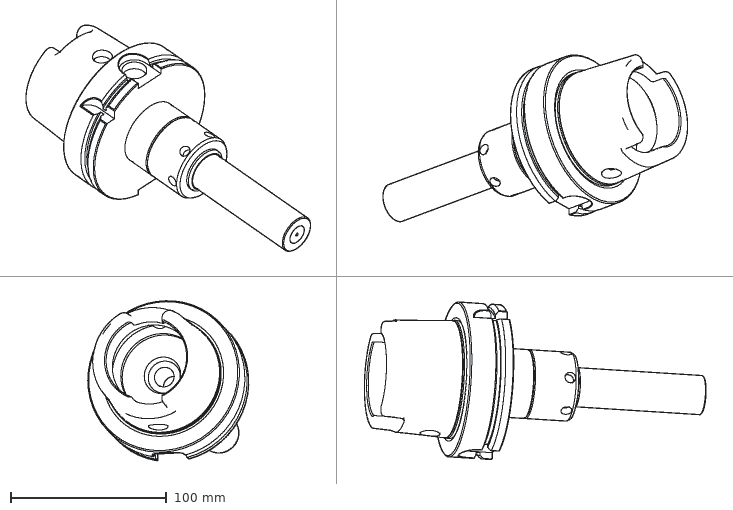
import cadquery as cq
import math


TAPER_START_RADIUS = 35.5
TAPER_SLOPE = 0.05
TAPER_END = 47.7
TAPER_END_RADIUS = TAPER_START_RADIUS + TAPER_SLOPE * TAPER_END
RIM_ROUNDING = 2.0

RELIEF_MIDDLE = 48.4
RELIEF_END = 49.0
RELIEF_RADIUS = 37.5
COLLAR_RADIUS = 38.0
RECESS_RADIUS = 39.8
RECESS_DEPTH = 0.9

NOTCH_WIDTH = 20.0
TOP_NOTCH_DEPTH = 10.0
BOTTOM_NOTCH_DEPTH = 15.0
NOTCH_EDGE_RADIUS = 5.2
NOTCH_FLOOR_RADIUS = 2.0

BORE_RADIUS = 53.0 / 2
MOUTH_CHAMFER = 0.9
LIP_LENGTH = 19.1
UNDERCUT_RADIUS = 31.4
UNDERCUT_ANGLE = 60
ROUNDING_START = 39.8
FLOOR_X = 44.3
FLOOR_RADIUS = 24.7
FLOOR_ARC_RADIUS = 16.8
CROSS_HOLE_DIAMETER = 12.7
CROSS_HOLE_X = 35.3

FLOOR_HOLE_DIAMETER = 26.0
FLOOR_HOLE_END_DIAMETER = 21.0
FLOOR_HOLE_DEPTH = 8.5

FLANGE_RADIUS = 49.99
FLANGE_START = 50.0
FLANGE_END = 79.0
FLANGE_CHAMFER = 0.9
FLANGE_END_CHAMFER = 0.6
GRIP_RADIUS = 46.0
GRIP_WALL_RADIUS = 47.7
GRIP_START = 66.9
GRIP_FLOOR_START = 68.2
GRIP_FLOOR_END = 71.0
GRIP_END = 73.3

SLOT_WIDTH = 20.2
SLOT_CENTRE_X = 64.7
SLOT_FLOOR = 44.3
SLOT_EDGE_CHAMFER = 0.5
SLOT_HOLE_DIAMETER = 16.0
SLOT_HOLE_DEPTH = 5.8
CORNER_SLOT_INSET = 31.5

NUT_RADIUS = 44.5 / 2
NUT_START = 99.1
NUT_END = 128.5
JOINT_CHAMFER = 0.6
NUT_END_RADIUS = 21.0
NUT_END_CHAMFER = 2.0
NUT_HOLE_COUNT = 6
NUT_HOLE_DIAMETER = 6.9
NUT_HOLE_DEPTH = 6.0
NUT_HOLE_X = 122.8

NOSE_RADIUS = 30.0 / 2
NOSE_RIM = 130.0
NOSE_END = 131.5
NOSE_END_RADIUS = 13.3

ROD_DIAMETER = 25.4
ROD_BORE_DIAMETER = 13.0
ROD_START = FLANGE_END
ROD_END = 215.0
ROD_CHAMFER = 0.6
CORE_DIAMETER = 12.7
COOLANT_DIAMETER = 2.0

TOLERANCE = 0.002


def turned(points):
    """Revolve an (x, radius) outline around the X axis."""
    return cq.Workplane("XY").polyline(points).close().revolve(360, (0, 0, 0), (1, 0, 0))


def bar(diameter, start, end):
    """Cylinder along the X axis."""
    return cq.Workplane("YZ", origin=(start, 0, 0)).circle(diameter / 2).extrude(end - start)


def drive_notch(side, depth):
    """Cutter for the notch on the +Z (side 1) or -Z (side -1) half of the open end."""
    height = 2 * TAPER_START_RADIUS
    cutter = cq.Workplane("XY").box(depth, NOTCH_WIDTH, height)
    return cutter.translate((depth / 2, 0, side * height / 2))


def is_bore_edge(edge):
    """True for an arc on the wall of the clamping bore."""
    return edge.geomType() == "CIRCLE" and abs(edge.radius() - BORE_RADIUS) < TOLERANCE


def shank():
    """Hollow taper with two drive notches, rounded wherever the notches break the rim."""
    body = turned([
        (0, BORE_RADIUS),
        (0, TAPER_START_RADIUS),
        (TAPER_END, TAPER_END_RADIUS),
        (TAPER_END, BORE_RADIUS),
    ])
    notches = ((1, TOP_NOTCH_DEPTH), (-1, BOTTOM_NOTCH_DEPTH))
    for side, depth in notches:
        body = body.cut(drive_notch(side, depth))

    wall_y = NOTCH_WIDTH / 2
    rim_z = math.sqrt(TAPER_START_RADIUS ** 2 - wall_y ** 2)
    for side, depth in notches:
        for y in (-wall_y, wall_y):
            middle = (depth / 2, y, side * rim_z)
            body = body.edges(cq.selectors.NearestToPointSelector(middle)).fillet(NOTCH_EDGE_RADIUS)
    wall_z = (BORE_RADIUS + TAPER_START_RADIUS) / 2 - NOTCH_EDGE_RADIUS / 2
    wall_z = min(wall_z, BORE_RADIUS + 1.0)
    for side, depth in notches:
        for y in (-wall_y, wall_y):
            middle = (depth, y, side * wall_z)
            body = body.edges(cq.selectors.NearestToPointSelector(middle)).fillet(NOTCH_FLOOR_RADIUS)
    rim = body.faces("<X").edges().filter(lambda edge: not is_bore_edge(edge))
    return rim.fillet(RIM_ROUNDING)


def flange_and_neck():
    """Solid turned body from the relief behind the taper to the face that meets the nut."""
    return turned([
        (TAPER_END, 0),
        (TAPER_END, TAPER_END_RADIUS),
        (RELIEF_MIDDLE, RELIEF_RADIUS),
        (RELIEF_END, COLLAR_RADIUS),
        (FLANGE_START + RECESS_DEPTH, COLLAR_RADIUS),
        (FLANGE_START, RECESS_RADIUS),
        (FLANGE_START, FLANGE_RADIUS - FLANGE_CHAMFER),
        (FLANGE_START + FLANGE_CHAMFER, FLANGE_RADIUS),
        (GRIP_START, FLANGE_RADIUS),
        (GRIP_FLOOR_START, GRIP_WALL_RADIUS),
        (GRIP_FLOOR_START, GRIP_RADIUS),
        (GRIP_FLOOR_END, GRIP_RADIUS),
        (GRIP_FLOOR_END, GRIP_WALL_RADIUS),
        (GRIP_END, FLANGE_RADIUS),
        (FLANGE_END - FLANGE_END_CHAMFER, FLANGE_RADIUS),
        (FLANGE_END, FLANGE_RADIUS - FLANGE_END_CHAMFER),
        (FLANGE_END, NUT_RADIUS),
        (NUT_START - JOINT_CHAMFER, NUT_RADIUS),
        (NUT_START, NUT_RADIUS - JOINT_CHAMFER),
        (NUT_START, 0),
    ])


def clamping_bore():
    """Cutter for the undercut bore with a rounded floor, and for the holes in that floor."""
    undercut_length = (UNDERCUT_RADIUS - BORE_RADIUS) / math.tan(math.radians(UNDERCUT_ANGLE))
    outline = cq.Workplane("XY").polyline([
        (0, 0),
        (0, BORE_RADIUS + MOUTH_CHAMFER),
        (MOUTH_CHAMFER, BORE_RADIUS),
        (LIP_LENGTH, BORE_RADIUS),
        (LIP_LENGTH + undercut_length, UNDERCUT_RADIUS),
        (ROUNDING_START, UNDERCUT_RADIUS),
    ])
    outline = outline.radiusArc((FLOOR_X, FLOOR_RADIUS), FLOOR_ARC_RADIUS)
    outline = outline.lineTo(FLOOR_X, 0).close()
    bore = outline.revolve(360, (0, 0, 0), (1, 0, 0))
    hole_end = FLOOR_X + FLOOR_HOLE_DEPTH
    floor_hole = turned([
        (FLOOR_X, 0),
        (FLOOR_X, FLOOR_HOLE_DIAMETER / 2),
        (hole_end, FLOOR_HOLE_END_DIAMETER / 2),
        (hole_end, 0),
    ])
    return bore.union(floor_hole).union(bar(ROD_BORE_DIAMETER, FLOOR_X, ROD_START))


def u_slot(floor_z, centre_y):
    """Cutter for a slot with a round closed end, open upwards and to the flange end."""
    plan = cq.Workplane("XY", origin=(SLOT_CENTRE_X, centre_y, floor_z))
    length = FLANGE_END - SLOT_CENTRE_X
    round_end = plan.circle(SLOT_WIDTH / 2).extrude(FLANGE_RADIUS)
    straight = plan.center(length / 2, 0).rect(length, SLOT_WIDTH).extrude(FLANGE_RADIUS)
    return round_end.union(straight)


def flange_slots():
    """Cutters for the slots at the top, the bottom and the upper -Y corner, and the round pocket."""
    top = u_slot(SLOT_FLOOR, 0)
    corner = u_slot(CORNER_SLOT_INSET, -CORNER_SLOT_INSET - SLOT_WIDTH / 2)
    pocket = cq.Workplane("XY", origin=(SLOT_CENTRE_X, 0, SLOT_FLOOR - SLOT_HOLE_DEPTH))
    pocket = pocket.circle(SLOT_HOLE_DIAMETER / 2).extrude(FLANGE_RADIUS)
    return top, top.mirror("XY"), corner, pocket


def is_slot_border(edge):
    """True for an edge where a slot wall or floor breaks out of the flange rim."""
    points = [edge.positionAt(part) for part in (0, 0.5, 1)]
    on_rim = all(abs(math.hypot(point.y, point.z) - FLANGE_RADIUS) < TOLERANCE for point in points)
    runs_along = min(abs(points[0].x - points[1].x), abs(points[0].x - points[2].x)) > TOLERANCE
    within_flange = FLANGE_START + FLANGE_CHAMFER < points[1].x < FLANGE_END
    return on_rim and runs_along and within_flange


def holder():
    """Taper shank, flange and neck in one piece, bored to take the rod."""
    cross_hole = cq.Workplane("XY", origin=(CROSS_HOLE_X, 0, 0)).circle(CROSS_HOLE_DIAMETER / 2)
    cross_hole = cross_hole.extrude(FLANGE_RADIUS, both=True)
    body = shank().union(flange_and_neck()).cut(clamping_bore()).cut(cross_hole)
    for slot in flange_slots():
        body = body.cut(slot)
    body = body.edges().filter(is_slot_border).chamfer(SLOT_EDGE_CHAMFER)
    return body.cut(bar(ROD_DIAMETER, ROD_START, NUT_START))


def nut():
    """Ring around the rod with a nose and a row of blind spanner holes."""
    body = turned([
        (NUT_START, ROD_DIAMETER / 2),
        (NUT_START, NUT_RADIUS - JOINT_CHAMFER),
        (NUT_START + JOINT_CHAMFER, NUT_RADIUS),
        (NUT_END - NUT_END_CHAMFER, NUT_RADIUS),
        (NUT_END, NUT_END_RADIUS),
        (NUT_END, NOSE_RADIUS),
        (NOSE_RIM, NOSE_RADIUS),
        (NOSE_END, NOSE_END_RADIUS),
        (NOSE_END, ROD_DIAMETER / 2),
    ])
    for index in range(NUT_HOLE_COUNT):
        hole = cq.Workplane("XZ", origin=(NUT_HOLE_X, NUT_HOLE_DEPTH - NUT_RADIUS, 0))
        hole = hole.circle(NUT_HOLE_DIAMETER / 2).extrude(NUT_RADIUS)
        body = body.cut(hole.rotate((0, 0, 0), (1, 0, 0), index * 360 / NUT_HOLE_COUNT))
    return body


def rod():
    """Tube held by the holder and the nut."""
    body = bar(ROD_DIAMETER, ROD_START, ROD_END).faces(">X").chamfer(ROD_CHAMFER)
    return body.cut(bar(ROD_BORE_DIAMETER, ROD_START, ROD_END))


def core():
    """Pin inside the rod with a fine hole along its axis."""
    return bar(CORE_DIAMETER, ROD_START, ROD_END).cut(bar(COOLANT_DIAMETER, ROD_START, ROD_END))


result = cq.Compound.makeCompound([holder().val(), nut().val(), rod().val(), core().val()])